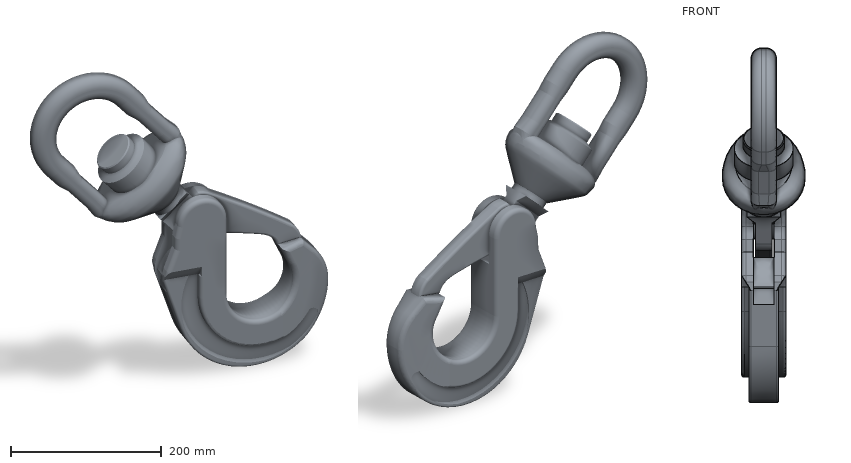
import cadquery as cq
import math


body_half = 29.6
head_radius = 34.4
eye_radius = 48.9
eye_y = head_radius + eye_radius
eye_z = -113.0
bowl_y, bowl_z = 75.8, -125.3
bowl_radius = 108.5
shoulder_waist_top = (-38.3, -17.0)
shoulder_waist_low = (-38.5, -34.0)
shoulder_flare = (-50.5, -65.2)
shoulder_top = (-52.4, -73.7)
shoulder_low = (-51.9, -85.0)
tip_outer_bend = (162.0, -75.0)
tip_outer_mid = (179.0, -99.0)
tip_outer_end = (146.0, -58.7)
tip_inner_end = (114.5, -63.8)
tip_arc_angle = 30.0
body_fillet = 6.0

taper_start_y = 112.0
taper_mid = (21.5, 150.0)
taper_half = 16.5
taper_end_y = 185.0

band_radius = 87.0
rim_half = 19.8
floor_half = 17.5
recess_radius = 115.0
rim_width = 5.0
rim_wall_width = 4.0
band_fillet = 4.0
rim_fillet = 3.0
edge_tolerance = 0.1
recess_end_y, recess_end_z = 158.0, -171.5
recess_end_radius = 9.5
ledge_top_z = -65.0
ledge_low_z = -80.0
ledge_y = -2.0

slot_half = 13.6
slot_floor_left = (60.0, -41.0)
slot_floor_start = (-8.0, -41.0)
slot_floor_mid = [(-26.0, -49.6), (-38.0, -61.0)]
slot_floor_end = (-49.0, -80.0)
notch_top = (-42.5, -82.0)
notch_low = (-45.9, -104.0)

latch_half = 11.0
latch_heel_radius = 36.8
latch_heel_angle = 65.0
latch_heel_back = (-15.0, 0.0)
latch_outer = [(91.3, -9.9), (135.0, -37.7)]
latch_toe_bend = (143.5, -48.0)
latch_toe_outer = (147.5, -59.5)
latch_toe_inner = (113.0, -64.0)
latch_inner = [(108.0, -54.5), (77.0, -40.8), (35.0, -31.8)]
latch_inner_end = (0.0, -29.0)
latch_fillet = 3.5

swivel_tilt = math.radians(41.71)
bail_center_y, bail_center_z = -150.76, 153.89
bail_radius = 66.0
bail_wire_half = 16.8
bail_wire_corner = 14.0
leg_half = 12.8
leg_root_height = -110.0
leg_root_half = 9.0
leg_foot_height = -97.0
leg_foot_half = 14.0
leg_foot_shift = 1.0
leg_flare_height = -78.0
leg_thin_height = -38.3
leg_thick_height = -22.7

dome_depth = 55.15
dome_widest_height = -106.0
dome_sections = [
    (-158.4, 27.0, 25.0),
    (-126.0, 66.5, 52.5),
    (-117.0, 74.0, dome_depth),
    (dome_widest_height, 78.0, 53.0),
    (-97.0, 75.0, 44.5),
    (-92.8, 60.0, 38.0),
]

nut_radius, nut_height = 39.0, -67.7
stud_radius, stud_height = 27.7, -49.6
cone_top_height = -62.3
stud_chamfer = 1.5

shank_radius = 25.0
shank_neck_half = 22.0
shank_flat_top = -167.0
shank_flat_low = -179.0
shank_eye_height = -215.0
pin_radius = 10.0


def yz_outline(start, half):
    """Start a YZ outline that is later extruded by 2 * half, centred on X = 0."""
    return cq.Workplane("YZ", origin=(-half, 0, 0)).moveTo(*start)


def both_sides(cutter):
    return cutter.union(cutter.mirror("YZ"))


def tangent_point(point, center, radius):
    """Point where a line from `point` touches the circle, on its low-Y side."""
    dy, dz = point[0] - center[0], point[1] - center[1]
    reach = math.hypot(dy, dz)
    angle = math.atan2(dz, dy) + math.acos(radius / reach)
    return (center[0] + radius * math.cos(angle), center[1] + radius * math.sin(angle))


def hook_blank():
    touch = tangent_point(shoulder_low, (bowl_y, bowl_z), bowl_radius)
    tip_angle = math.radians(tip_arc_angle)
    tip_arc_start = (eye_y + eye_radius * math.cos(tip_angle), eye_z + eye_radius * math.sin(tip_angle))
    blank = (
        yz_outline((head_radius, 0), body_half)
        .threePointArc((0, head_radius), (-head_radius, 0))
        .lineTo(*shoulder_waist_top)
        .lineTo(*shoulder_waist_low)
        .lineTo(*shoulder_flare)
        .lineTo(*shoulder_top)
        .lineTo(*shoulder_low)
        .lineTo(*touch)
        .threePointArc((bowl_y, bowl_z - bowl_radius), (bowl_y + bowl_radius, bowl_z))
        .threePointArc(tip_outer_mid, tip_outer_bend)
        .lineTo(*tip_outer_end)
        .lineTo(*tip_inner_end)
        .lineTo(*tip_arc_start)
        .threePointArc((eye_y, eye_z - eye_radius), (head_radius, eye_z))
        .close()
        .extrude(2 * body_half)
    )
    return blank.cut(tip_taper()).edges("not |X").fillet(body_fillet)


def side_recess():
    """Recess outside the raised band, with a deeper floor inside the rim."""
    far = 2 * bowl_radius
    block = (
        cq.Workplane("XY")
        .box(body_half, 2 * far, far, centered=False)
        .translate((0, -far, ledge_low_z - far))
    )
    band = (
        cq.Workplane("YZ")
        .moveTo(eye_y - band_radius, ledge_top_z)
        .lineTo(eye_y - band_radius, eye_z)
        .threePointArc((eye_y, eye_z - band_radius), (eye_y + band_radius, eye_z))
        .lineTo(eye_y + band_radius, ledge_top_z)
        .close()
        .extrude(body_half)
        .faces(">X").edges().fillet(band_fillet)
    )
    tip_side = (
        cq.Workplane("XY")
        .box(body_half, far, far, centered=False)
        .translate((0, eye_y, recess_end_z))
    )
    round_end = (
        cq.Workplane("YZ").center(recess_end_y, recess_end_z).circle(recess_end_radius).extrude(body_half)
    )
    step = block.translate((rim_half, 0, 0)).cut(tip_side)
    floor_slope = math.degrees(math.atan2(rim_wall_width, rim_half - floor_half))
    bowl = (
        cq.Workplane("YZ", origin=(floor_half, eye_y, eye_z))
        .circle(recess_radius - rim_wall_width)
        .extrude(rim_half - floor_half, taper=-floor_slope)
    )
    inside_rim = (
        cq.Workplane("YZ").center(bowl_y, bowl_z).circle(bowl_radius - rim_width).extrude(2 * body_half)
    )
    floor = (
        block.intersect(inside_rim)
        .translate((floor_half, 0, 0))
        .intersect(bowl)
        .cut(tip_side)
        .union(round_end.translate((floor_half, 0, 0)))
    )
    ledge = (
        cq.Workplane("XZ")
        .moveTo(body_half, ledge_top_z)
        .lineTo(rim_half, ledge_low_z)
        .lineTo(body_half, ledge_low_z)
        .close()
        .extrude(far)
        .translate((0, ledge_y, 0))
    )
    return both_sides(step.union(floor).cut(band).union(ledge))


def tip_taper():
    """Cutter that thins the bowl and tip toward the outer, high-Y side."""
    far = 2 * bowl_radius
    cutter = (
        cq.Workplane("XY", origin=(0, 0, -2 * far))
        .moveTo(body_half, taper_start_y)
        .threePointArc(taper_mid, (taper_half, taper_end_y))
        .lineTo(taper_half, far)
        .lineTo(body_half, far)
        .close()
        .extrude(3 * far)
    )
    return both_sides(cutter)


def slot():
    beyond = 2 * head_radius
    return (
        yz_outline((slot_floor_left[0], beyond), slot_half)
        .lineTo(*slot_floor_left)
        .lineTo(*slot_floor_start)
        .spline(slot_floor_mid + [slot_floor_end], includeCurrent=True)
        .lineTo(slot_floor_end[0], notch_top[1])
        .lineTo(*notch_top)
        .lineTo(*notch_low)
        .lineTo(-beyond, notch_low[1])
        .lineTo(-beyond, beyond)
        .close()
        .extrude(2 * slot_half)
    )


def latch():
    angle = math.radians(latch_heel_angle)
    middle = (angle + math.pi / 2) / 2
    heel_end = (latch_heel_radius * math.cos(angle), latch_heel_radius * math.sin(angle))
    heel_middle = (latch_heel_radius * math.cos(middle), latch_heel_radius * math.sin(middle))
    body = (
        yz_outline(latch_inner_end, latch_half)
        .threePointArc(latch_heel_back, (0, latch_heel_radius))
        .threePointArc(heel_middle, heel_end)
        .spline(latch_outer, includeCurrent=True)
        .threePointArc(latch_toe_bend, latch_toe_outer)
        .lineTo(*latch_toe_inner)
        .spline(latch_inner + [latch_inner_end], includeCurrent=True)
        .close()
        .extrude(2 * latch_half)
    )
    return body.faces("<X or >X").edges().fillet(latch_fillet)


def swivel_dome():
    base_height = dome_sections[0][0]
    sections = cq.Workplane("XY").workplane(offset=base_height)
    previous = base_height
    for height, width, depth in dome_sections:
        sections = sections.workplane(offset=height - previous).ellipse(width, depth)
        previous = height
    return sections.loft()


def nut_and_stud():
    stack = (
        cq.Workplane("XZ")
        .moveTo(0, dome_widest_height)
        .lineTo(nut_radius, dome_widest_height)
        .lineTo(nut_radius, nut_height)
        .lineTo(stud_radius, cone_top_height)
        .lineTo(stud_radius, stud_height - stud_chamfer)
        .lineTo(stud_radius - stud_chamfer, stud_height)
        .lineTo(0, stud_height)
        .close()
    )
    return stack.revolve(360, (0, 0, 0), (0, 1, 0))


def wire_section(half_width):
    """Rounded rectangle: half_width in the plane of the bail, the wire size across it."""
    flat = bail_wire_half - bail_wire_corner
    sides = cq.Sketch().rect(2 * half_width, 2 * bail_wire_half)
    return sides.vertices().fillet(half_width - flat)


def leg_piece(side, low, high):
    """Bail leg between two stations, each given as height, half width and outward shift."""
    low_height, low_half, low_shift = low
    high_height, high_half, high_shift = high
    foot = wire_section(low_half).moved(cq.Location((side * (bail_radius + low_shift), 0, low_height)))
    head = wire_section(high_half).moved(cq.Location((side * (bail_radius + high_shift), 0, high_height)))
    return cq.Workplane("XY").placeSketch(foot, head).loft()


def bail():
    frame = (
        cq.Workplane("XY")
        .center(bail_radius, 0)
        .placeSketch(wire_section(bail_wire_half))
        .revolve(180, (-bail_radius, 0, 0), (-bail_radius, -1, 0))
    )
    stations = [
        (leg_root_height, leg_root_half, 0),
        (leg_foot_height, leg_foot_half, leg_foot_shift),
        (leg_flare_height, leg_half, 0),
        (leg_thin_height, leg_half, 0),
        (leg_thick_height, bail_wire_half, 0),
        (0, bail_wire_half, 0),
    ]
    for side in (-1, 1):
        for low, high in zip(stations, stations[1:]):
            frame = frame.union(leg_piece(side, low, high))
    return frame


def shank():
    top = dome_widest_height
    blade = (
        cq.Workplane("XZ")
        .moveTo(-shank_radius, top)
        .lineTo(-shank_radius, shank_eye_height)
        .threePointArc((0, shank_eye_height - shank_radius), (shank_radius, shank_eye_height))
        .lineTo(shank_radius, top)
        .close()
        .extrude(shank_radius, both=True)
    )
    flats = (
        cq.Workplane("YZ")
        .moveTo(-shank_neck_half, shank_flat_top)
        .lineTo(-latch_half, shank_flat_low)
        .lineTo(-latch_half, 2 * shank_eye_height)
        .lineTo(latch_half, 2 * shank_eye_height)
        .lineTo(latch_half, shank_flat_low)
        .lineTo(shank_neck_half, shank_flat_top)
        .close()
        .extrude(shank_radius, both=True)
    )
    bar = cq.Workplane("XY").workplane(offset=top).circle(shank_radius).extrude(shank_flat_top - top)
    pin = (
        cq.Workplane("XZ").center(0, shank_eye_height).circle(pin_radius)
        .extrude((slot_half + body_half) / 2, both=True)
    )
    return blade.intersect(flats).union(bar).union(pin)


def swivel():
    along = (0, -math.sin(swivel_tilt), math.cos(swivel_tilt))
    across = (0, -math.cos(swivel_tilt), -math.sin(swivel_tilt))
    frame = cq.Plane((0, bail_center_y, bail_center_z), across, along)
    upright = swivel_dome().union(nut_and_stud()).union(bail()).union(shank())
    return cq.Workplane(upright.val().moved(cq.Location(frame)))


def is_rim_edge(edge):
    """True for the outer edges of the thinned bowl, including the straight one."""
    middle = edge.positionAt(0.5)
    reach = math.hypot(middle.y - bowl_y, middle.z - bowl_z)
    on_rim_face = abs(abs(middle.x) - rim_half) < edge_tolerance
    return on_rim_face and middle.z < shoulder_low[1] and reach > bowl_radius - edge_tolerance


def hook():
    body = hook_blank().cut(side_recess())
    rim_edges = [edge for edge in body.edges().vals() if is_rim_edge(edge)]
    return body.newObject(rim_edges).fillet(rim_fillet).cut(slot())


result = hook().union(latch()).union(swivel())